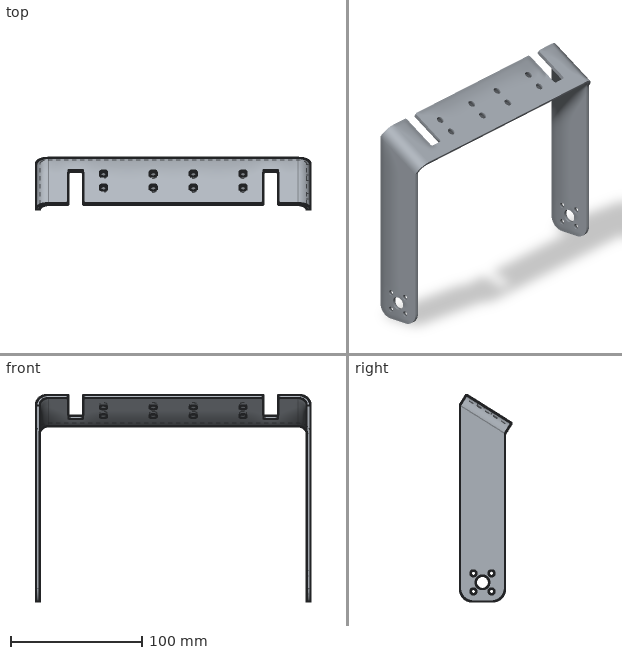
import cadquery as cq
import math

overall_width = 209.1
overall_depth = 39.5
overall_height = 157.5
thickness = 3.0
bend_radius = 9.5
tilt = 32.0

slot_width = 11.3
slot_depth = 30.0
slot_center_x = 74.2
slot_corner_radius = 1.5
plate_hole_diameter = 5.6
plate_hole_depth = 2.5
plate_hole_inner_x = 15.3
plate_hole_outer_x = 53.1
plate_hole_row_spacing = 12.5

leg_corner_radius = 10.0
pivot_hole_diameter = 10.0
pivot_height = 14.6
screw_hole_diameter = 4.2
screw_hole_spacing = 13.8

tilt_sin = math.sin(math.radians(tilt))
tilt_cos = math.cos(math.radians(tilt))
half_width = overall_width / 2
leg_depth = overall_depth - bend_radius * tilt_sin
plate_length = leg_depth / tilt_cos
leg_front_height = overall_height - bend_radius * tilt_cos
leg_back_height = leg_front_height - plate_length * tilt_sin

bend_plane = cq.Plane(
    origin=(0, -leg_depth / 2, leg_front_height),
    xDir=(1, 0, 0),
    normal=(0, -tilt_cos, tilt_sin),
)
plate_plane = cq.Plane(
    origin=bend_plane.toWorldCoords((0, bend_radius, -plate_length / 2)).toTuple(),
    xDir=(-1, 0, 0),
    normal=(0, tilt_sin, tilt_cos),
)


def make_bent_top():
    """Top plate with a quarter-round bend at each end."""
    flat_half = half_width - bend_radius
    inner_radius = bend_radius - thickness
    outer_mid = bend_radius * math.sqrt(0.5)
    inner_mid = inner_radius * math.sqrt(0.5)
    return (
        cq.Workplane(bend_plane)
        .moveTo(-half_width, 0)
        .threePointArc((-flat_half - outer_mid, outer_mid), (-flat_half, bend_radius))
        .lineTo(flat_half, bend_radius)
        .threePointArc((flat_half + outer_mid, outer_mid), (half_width, 0))
        .lineTo(half_width - thickness, 0)
        .threePointArc((flat_half + inner_mid, inner_mid), (flat_half, inner_radius))
        .lineTo(-flat_half, inner_radius)
        .threePointArc((-flat_half - inner_mid, inner_mid), (-half_width + thickness, 0))
        .close()
        .extrude(-plate_length)
    )


def make_leg(left_x):
    """Vertical leg with a sloped top, rounded lower corners and a drilled end."""
    half_depth = leg_depth / 2
    leg = (
        cq.Workplane("YZ", origin=(left_x, 0, 0))
        .polyline([
            (-half_depth, 0),
            (half_depth, 0),
            (half_depth, leg_back_height),
            (-half_depth, leg_front_height),
        ])
        .close()
        .extrude(thickness)
    )
    leg = leg.edges("|X and <Z").fillet(leg_corner_radius)
    drill_plane = cq.Workplane("YZ", origin=(left_x, 0, pivot_height))
    pivot_hole = drill_plane.circle(pivot_hole_diameter / 2).extrude(thickness)
    screw_holes = (
        drill_plane
        .rect(screw_hole_spacing, screw_hole_spacing, forConstruction=True)
        .vertices()
        .circle(screw_hole_diameter / 2)
        .extrude(thickness)
    )
    return leg.cut(pivot_hole).cut(screw_holes)


def make_slot(center_x):
    """Cutter for a slot open at the upper edge, with rounded floor and mouth corners."""
    edge = plate_length / 2
    floor = edge - slot_depth
    half_slot = slot_width / 2
    radius = slot_corner_radius
    slot = (
        cq.Workplane(plate_plane)
        .center(center_x, 0)
        .moveTo(-half_slot - radius, edge)
        .radiusArc((-half_slot, edge - radius), radius)
        .lineTo(-half_slot, floor + radius)
        .radiusArc((-half_slot + radius, floor), -radius)
        .lineTo(half_slot - radius, floor)
        .radiusArc((half_slot, floor + radius), -radius)
        .lineTo(half_slot, edge - radius)
        .radiusArc((half_slot + radius, edge), radius)
        .close()
    )
    return slot.extrude(-thickness)


def make_plate_holes():
    """Cutters for the two rows of blind holes along the plate."""
    hole_points = [
        (side * hole_x, row * plate_hole_row_spacing / 2)
        for side in (-1, 1)
        for hole_x in (plate_hole_inner_x, plate_hole_outer_x)
        for row in (-1, 1)
    ]
    return (
        cq.Workplane(plate_plane)
        .pushPoints(hole_points)
        .circle(plate_hole_diameter / 2)
        .extrude(-plate_hole_depth)
    )


top = make_bent_top().cut(make_plate_holes())
for slot_x in (-slot_center_x, slot_center_x):
    top = top.cut(make_slot(slot_x))

result = top.union(make_leg(-half_width)).union(make_leg(half_width - thickness))